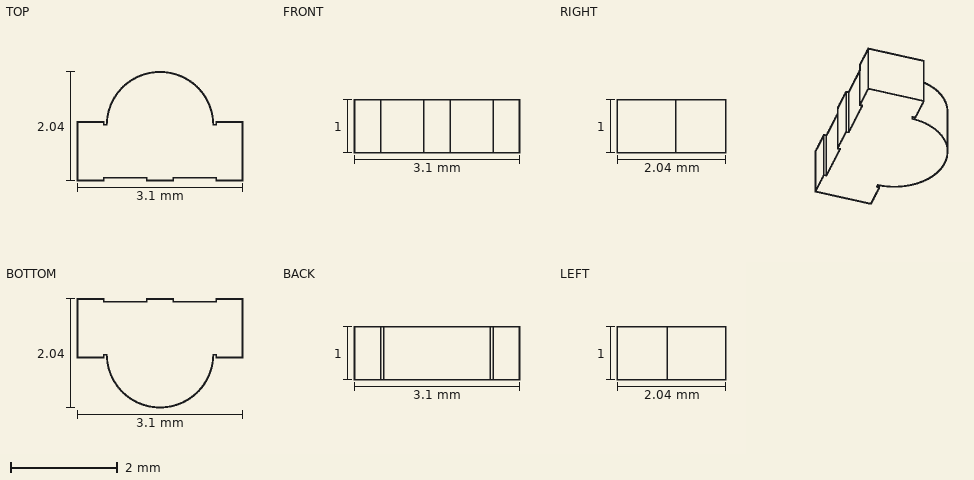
import cadquery as cq

overall_length = 3.1
height = 1.0
body_depth = 1.0
plating = 0.05
terminal_width = 0.5
lens_radius = 1.0
lens_inset = 0.012

body_length = overall_length - 2 * plating
wrapped_depth = body_depth + 2 * plating
terminal_x = (overall_length - terminal_width) / 2
body_centre_y = body_depth / 2


def block(length, depth, x, y):
    """Full-height block centred at (x, y)."""
    return cq.Workplane("XY").center(x, y).box(length, depth, height)


body = block(body_length, body_depth, 0, body_centre_y)

for side in (-1, 1):
    body = body.union(block(terminal_width, wrapped_depth, side * terminal_x, body_centre_y))

body = body.union(block(terminal_width, plating, 0, -plating / 2))

lens_centre_y = body_depth - lens_inset
lens = (
    cq.Workplane("XY", origin=(0, 0, -height / 2))
    .moveTo(-lens_radius, lens_centre_y)
    .threePointArc((0, lens_centre_y + lens_radius), (lens_radius, lens_centre_y))
    .close()
    .extrude(height)
)

result = body.union(lens)